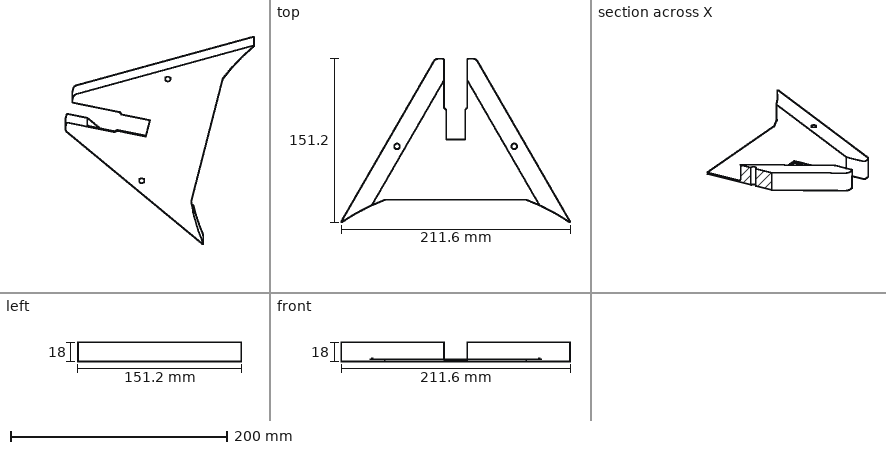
import cadquery as cq
import math

total_height = 18.0
plate_thickness = 2.0
wall_height = total_height - plate_thickness

side_angle = math.radians(60)
apex_y = 163.33
back_y = 130.62
outer_corner_radius = 5.0
slot_mouth_radius = 1.5
tip_radius = 0.5

front_corner_x = 65.4
arc_radius = 187.0
arc_center_y = -math.sqrt(arc_radius**2 - front_corner_x**2)

slot_wide_half = 10.6
slot_narrow_half = 8.65
slot_end_y = 56.0
slot_step_y = 85.2
slot_step = slot_wide_half - slot_narrow_half

wall_width = 17.0
wall_corner_radius = 5.0
root_fillet_radius = 1.0

hole_diameter = 5.0
hole_y = 49.5
hole_edge_distance = 10.0

slab_size = 4 * apex_y


def side_x(y, inset=0.0):
    """X on the right slanted side at a given Y, with the side moved inwards by inset."""
    return (apex_y - y) / math.tan(side_angle) - inset / math.sin(side_angle)


def side_arc_point(inset=0.0):
    """Point where the front circle crosses the right slanted side moved inwards by inset."""
    dir_x = math.cos(side_angle)
    dir_y = -math.sin(side_angle)
    start_x = side_x(0, inset)
    along = start_x * dir_x - arc_center_y * dir_y
    excess = start_x**2 + arc_center_y**2 - arc_radius**2
    travel = -along - math.sqrt(along**2 - excess)
    return (start_x + travel * dir_x, travel * dir_y)


def arc_point(x):
    """Point on the front circle at a given X."""
    return (x, arc_center_y + math.sqrt(arc_radius**2 - x**2))


def mirrored(point):
    return (-point[0], point[1])


def fillet_upright_edges(body, points, radius):
    """Round the vertical edges of body that stand nearest to the given XY points."""
    mid_z = body.val().BoundingBox().center.z
    for x, y in points:
        edge = cq.selectors.NearestToPointSelector((x, y, mid_z))
        body = body.edges("|Z").edges(edge).fillet(radius)
    return body


def make_outline_body():
    """Full-height body with the outer outline and the stepped slot."""
    tip = side_arc_point()
    arc_middle = arc_point((front_corner_x + tip[0]) / 2)
    back_corner = (side_x(back_y), back_y)
    slot_mouth = (slot_wide_half, back_y)
    body = (
        cq.Workplane("XY")
        .moveTo(-front_corner_x, 0)
        .lineTo(front_corner_x, 0)
        .threePointArc(arc_middle, tip)
        .lineTo(*back_corner)
        .lineTo(*slot_mouth)
        .lineTo(slot_wide_half, slot_step_y)
        .lineTo(slot_narrow_half, slot_step_y - slot_step)
        .lineTo(slot_narrow_half, slot_end_y)
        .lineTo(-slot_narrow_half, slot_end_y)
        .lineTo(-slot_narrow_half, slot_step_y - slot_step)
        .lineTo(-slot_wide_half, slot_step_y)
        .lineTo(*mirrored(slot_mouth))
        .lineTo(*mirrored(back_corner))
        .lineTo(*mirrored(tip))
        .threePointArc(mirrored(arc_middle), (-front_corner_x, 0))
        .close()
        .extrude(total_height)
    )
    roundings = [(tip, tip_radius), (back_corner, outer_corner_radius), (slot_mouth, slot_mouth_radius)]
    for corner, radius in roundings:
        body = fillet_upright_edges(body, [corner, mirrored(corner)], radius)
    return body


def make_slab(bottom_z, height):
    """Square slab wider than the part."""
    return cq.Workplane("XY", origin=(0, 0, bottom_z)).rect(slab_size, slab_size).extrude(height)


def make_inner_triangle(inset):
    """Prism on top of the plate filling the space between the sides moved inwards by inset."""
    front_y = arc_center_y
    top_y = apex_y - inset / math.cos(side_angle)
    half_base = side_x(front_y, inset)
    corners = [(-half_base, front_y), (half_base, front_y), (0, top_y)]
    return cq.Workplane("XY", origin=(0, 0, plate_thickness)).polyline(corners).close().extrude(wall_height)


def make_walls(body):
    """Two walls flush with the outline, their inner front corners rounded."""
    above_plate = make_slab(plate_thickness, wall_height)
    walls = body.intersect(above_plate).cut(make_inner_triangle(wall_width))
    corner = side_arc_point(wall_width)
    return fillet_upright_edges(walls, [corner, mirrored(corner)], wall_corner_radius)


def make_root_fillet(body):
    """Concave strip along the foot of the right wall, trimmed to the outline."""
    start_y = arc_center_y
    start = (side_x(start_y, wall_width), start_y, plate_thickness)
    into_plate = (-math.sin(side_angle), -math.cos(side_angle), 0)
    along_wall = (-math.cos(side_angle), math.sin(side_angle), 0)
    section = cq.Plane(origin=start, xDir=into_plate, normal=along_wall)
    length = (apex_y - start_y) / math.sin(side_angle)
    r = root_fillet_radius
    near_corner = r * (1 - math.sqrt(0.5))
    strip = (
        cq.Workplane(section)
        .lineTo(r, 0)
        .threePointArc((near_corner, near_corner), (0, r))
        .close()
        .extrude(length)
    )
    right_half = make_slab(0, total_height).translate((slab_size / 2, 0, 0))
    return strip.intersect(body).intersect(right_half)


def make_holes():
    hole_x = side_x(hole_y, hole_edge_distance)
    return (
        cq.Workplane("XY")
        .pushPoints([(hole_x, hole_y), (-hole_x, hole_y)])
        .circle(hole_diameter / 2)
        .extrude(total_height)
    )


outline_body = make_outline_body()
plate = outline_body.intersect(make_slab(0, plate_thickness))
root_fillet = make_root_fillet(outline_body)
result = (
    plate.union(make_walls(outline_body))
    .union(root_fillet)
    .union(root_fillet.mirror("YZ"))
    .cut(make_holes())
)